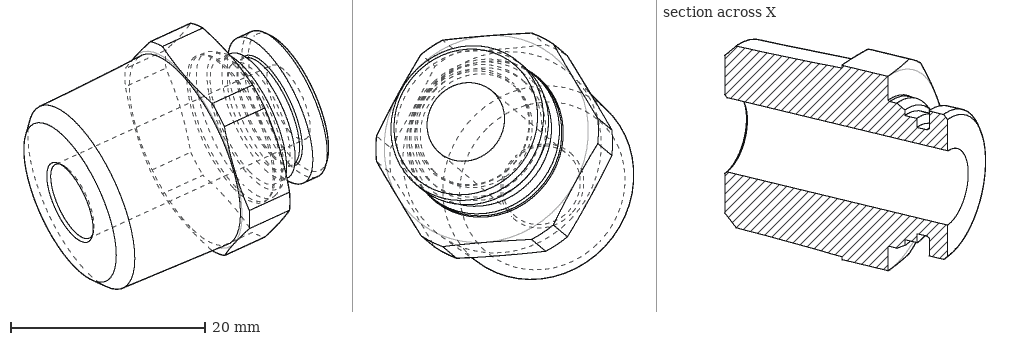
import cadquery as cq
import math

length = 26.6
bore_radius = 4.18
bore_mouth_radius = 4.47

thread_tip_radius = 8.9
thread_small_radius = 10.3
thread_large_radius = 10.7
thread_tip_chamfer = thread_small_radius - thread_tip_radius

hex_start = 14.0
hex_end = 19.5
hex_across_flats = 22.0
hex_corner_radius = 12.0
hex_face_radius = hex_across_flats / 2
hex_bevel = 0.3

collar_radius = 8.22
collar_foot = 0.25
collar_foot_flare = 0.08
collar_bevel_start = 20.55
collar_end = 21.52
collar_top_radius = 7.65
step_radius = 7.05
step_end = 22.95
neck_radius = 6.05
neck_flare = 0.15
neck_flare_length = 0.25

ring_start = 24.37
ring_radius = 8.22
ring_chamfer = 0.48


def turned(profile):
    """Solid of revolution about Y from (radius, y) points."""
    return cq.Workplane("XY").polyline(profile).close().revolve(360, (0, 0, 0), (0, 1, 0))


def hexagon():
    """Hexagon with two flats facing +Z and -Z."""
    across_corners = hex_across_flats / math.cos(math.pi / 6)
    prism = (
        cq.Workplane("XZ", origin=(0, hex_start, 0))
        .polygon(6, across_corners)
        .extrude(hex_start - hex_end)
    )
    envelope = turned([
        (0, hex_start),
        (hex_face_radius, hex_start),
        (hex_corner_radius, hex_start + hex_bevel),
        (hex_corner_radius, hex_end - hex_bevel),
        (hex_face_radius, hex_end),
        (0, hex_end),
    ])
    return prism.intersect(envelope)


def threaded_end():
    return turned([
        (0, 0),
        (thread_tip_radius, 0),
        (thread_small_radius, thread_tip_chamfer),
        (thread_large_radius, hex_start),
        (0, hex_start),
    ])


def release_end():
    return turned([
        (0, hex_end),
        (collar_radius + collar_foot_flare, hex_end),
        (collar_radius, hex_end + collar_foot),
        (collar_radius, collar_bevel_start),
        (collar_top_radius, collar_end),
        (step_radius, collar_end),
        (step_radius, step_end),
        (neck_radius, step_end),
        (neck_radius, ring_start - neck_flare_length),
        (neck_radius + neck_flare, ring_start),
        (ring_radius, ring_start),
        (ring_radius, length - ring_chamfer),
        (ring_radius - ring_chamfer, length),
        (0, length),
    ])


def bore():
    """Through bore with a chamfered mouth at the threaded end."""
    mouth_depth = bore_mouth_radius - bore_radius
    return turned([
        (0, 0),
        (bore_mouth_radius, 0),
        (bore_radius, mouth_depth),
        (bore_radius, length),
        (0, length),
    ])


result = hexagon().union(threaded_end()).union(release_end()).cut(bore())